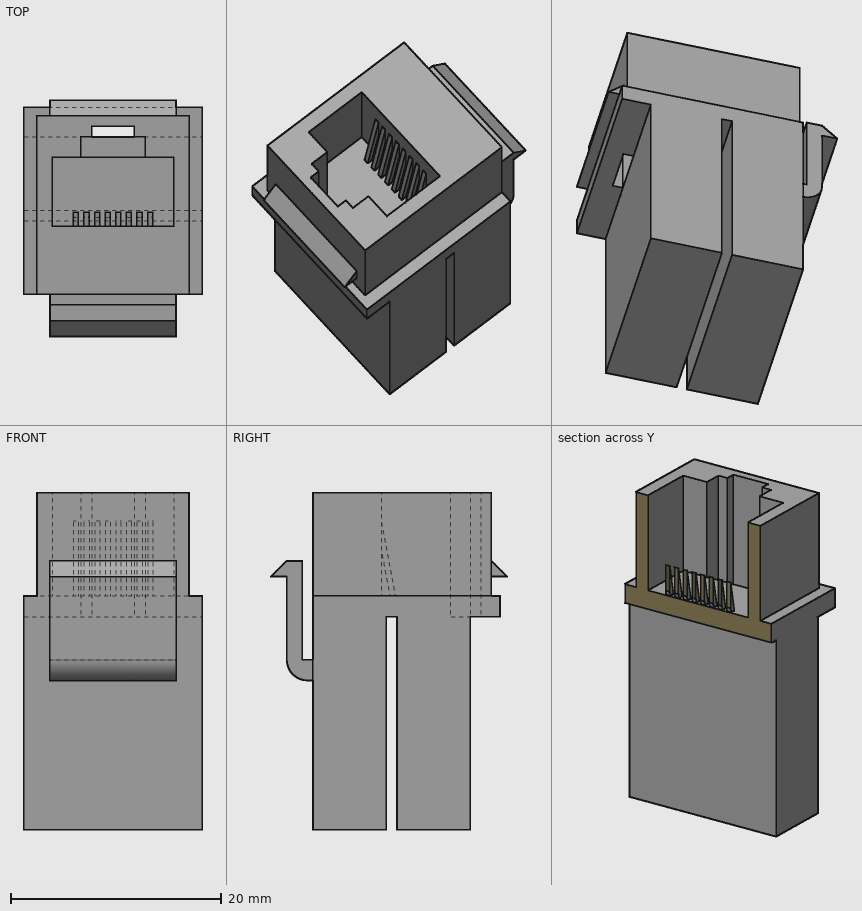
import cadquery as cq

TOTAL_HEIGHT = 32.1

BLOCK_WIDTH = 14.48
BLOCK_DEPTH = 16.98
BLOCK_HEIGHT = 9.82
FLANGE_WIDTH = 17.0
FLANGE_DEPTH = 17.8
FLANGE_THICKNESS = 2.0
LEG_DEPTH = 7.0
LEG_GAP = 1.0

FLANGE_TOP = TOTAL_HEIGHT - BLOCK_HEIGHT
LEG_HEIGHT = FLANGE_TOP - FLANGE_THICKNESS
LEGS_BACK = 2 * LEG_DEPTH + LEG_GAP

CAVITY_WIDTH = 11.6
CAVITY_FRONT = 6.5
CAVITY_BACK = 13.05
CAVITY_FLOOR = FLANGE_TOP
TAB_NOTCH_WIDTH = 6.1
TAB_NOTCH_BACK = LEGS_BACK
KEY_NOTCH_WIDTH = 4.0
KEY_NOTCH_BACK = 16.0

BARB_SIZE = 1.5
BARB_TOP = TOTAL_HEIGHT - 6.5

LATCH_WIDTH = 12.0
ARM_THICKNESS = 1.5
ARM_GAP = 1.0
ROOT_TOP = 16.2
ROOT_HEIGHT = 2.0
ARM_FRONT = -(ARM_GAP + ARM_THICKNESS)

CONTACT_COUNT = 8
CONTACT_ROW_LENGTH = 7.05
CONTACT_PITCH = CONTACT_ROW_LENGTH / (CONTACT_COUNT - 1)
CONTACT_WIDTH = 0.48
CONTACT_REACH = 1.35
CONTACT_DROP = 7.15
CONTACT_FOOT = 0.5


def box(width, front, back, bottom, top):
    """Box centred on X between the given Y and Z limits."""
    centering = (True, False, False)
    blank = cq.Workplane("XY").box(width, back - front, top - bottom, centered=centering)
    return blank.translate((0, front, bottom))


def side_prism(outline, width):
    """Extrude a closed YZ outline symmetrically about X = 0."""
    return outline.extrude(width / 2, both=True)


def barb(base_y, outward):
    """Barb whose ramp falls away from the wall at base_y; outward is +1 or -1 along Y."""
    outline = (
        cq.Workplane("YZ")
        .moveTo(base_y, BARB_TOP)
        .lineTo(base_y + outward * BARB_SIZE, BARB_TOP - BARB_SIZE)
        .lineTo(base_y, BARB_TOP - BARB_SIZE)
        .close()
    )
    return side_prism(outline, LATCH_WIDTH)


def make_housing():
    block = box(BLOCK_WIDTH, 0, BLOCK_DEPTH, LEG_HEIGHT, TOTAL_HEIGHT)
    flange = box(FLANGE_WIDTH, 0, FLANGE_DEPTH, LEG_HEIGHT, FLANGE_TOP)
    cavity = box(CAVITY_WIDTH, CAVITY_FRONT, CAVITY_BACK, CAVITY_FLOOR, TOTAL_HEIGHT)
    tab_notch = box(TAB_NOTCH_WIDTH, CAVITY_BACK, TAB_NOTCH_BACK, LEG_HEIGHT, TOTAL_HEIGHT)
    key_notch = box(KEY_NOTCH_WIDTH, TAB_NOTCH_BACK, KEY_NOTCH_BACK, LEG_HEIGHT, TOTAL_HEIGHT)
    housing = block.union(flange).cut(cavity).cut(tab_notch).cut(key_notch)

    for leg_front in (0, LEG_DEPTH + LEG_GAP):
        housing = housing.union(box(FLANGE_WIDTH, leg_front, leg_front + LEG_DEPTH, 0, LEG_HEIGHT))
    return housing.union(barb(BLOCK_DEPTH, 1))


def make_latch():
    root_outline = (
        cq.Workplane("YZ")
        .moveTo(0, ROOT_TOP)
        .lineTo(0, ROOT_TOP - ROOT_HEIGHT)
        .lineTo(ARM_FRONT + ROOT_HEIGHT, ROOT_TOP - ROOT_HEIGHT)
        .radiusArc((ARM_FRONT, ROOT_TOP), ROOT_HEIGHT)
        .close()
    )
    root = side_prism(root_outline, LATCH_WIDTH)
    arm = box(LATCH_WIDTH, ARM_FRONT, ARM_FRONT + ARM_THICKNESS, ROOT_TOP, BARB_TOP)
    return root.union(arm).union(barb(ARM_FRONT, -1))


def make_contact(center_x):
    slope = CONTACT_DROP / CONTACT_REACH
    top = CAVITY_FLOOR + CONTACT_DROP
    toe = CAVITY_FRONT + CONTACT_REACH
    outline = (
        cq.Workplane("YZ")
        .moveTo(CAVITY_FRONT, top)
        .lineTo(toe, CAVITY_FLOOR)
        .lineTo(toe - CONTACT_FOOT, CAVITY_FLOOR)
        .lineTo(CAVITY_FRONT, top - CONTACT_FOOT * slope)
        .close()
    )
    return side_prism(outline, CONTACT_WIDTH).translate((center_x, 0, 0))


housing = make_housing()
latch = make_latch()

contacts = []
for index in range(CONTACT_COUNT):
    contact_x = index * CONTACT_PITCH - CONTACT_ROW_LENGTH / 2
    contacts.append(make_contact(contact_x).val())

result = cq.Compound.makeCompound([housing.val(), latch.val(), *contacts])